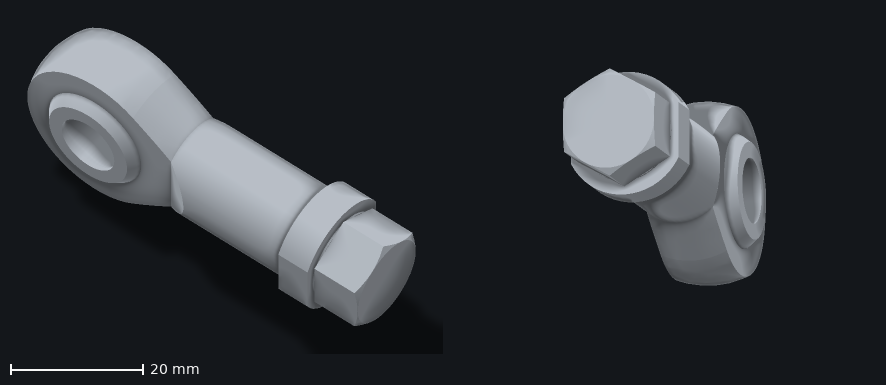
import cadquery as cq
import math

overall_length = 65.55

eye_diameter = 27.9
eye_radius = eye_diameter / 2
eye_width = 10.5

ball_diameter = 20.45
ball_width = 14.0
bore_diameter = 10.0

shank_diameter = 15.35
shank_radius = shank_diameter / 2
neck_start = 7.2
shank_start = 14.5
cheek_ramp_angle = 30.0

collar_diameter = 19.0
collar_across_flats = 17.0
collar_start = 37.45
collar_length = 5.6
collar_end = collar_start + collar_length

relief_diameter = 14.7
relief_length = 0.3
hex_across_flats = 14.4
hex_across_corners = hex_across_flats / math.cos(math.radians(30))
hex_chamfer_angle = 30.0
hex_start = collar_end + relief_length
shank_end = overall_length - eye_radius


def x_cylinder(diameter, start, end):
    """Cylinder along X between two stations."""
    return cq.Workplane("YZ", origin=(start, 0, 0)).circle(diameter / 2).extrude(end - start)


def make_eye_and_shank():
    """Spherical eye, cone and shank, turned about X."""
    neck_radius = math.sqrt(eye_radius**2 - neck_start**2)
    return (
        cq.Workplane("XY")
        .moveTo(-eye_radius, 0)
        .threePointArc((0, eye_radius), (neck_start, neck_radius))
        .lineTo(shank_start, shank_radius)
        .lineTo(collar_start, shank_radius)
        .lineTo(collar_start, 0)
        .close()
        .revolve(360, (0, 0, 0), (1, 0, 0))
    )


def make_cheek_envelope():
    """Slab that leaves flat cheeks on the eye, widening by ramps to the shank."""
    half_width = eye_width / 2
    ramp_length = (shank_radius - half_width) / math.tan(math.radians(cheek_ramp_angle))
    ramp_end = shank_start + ramp_length
    return (
        cq.Workplane("XY")
        .moveTo(-eye_radius, -half_width)
        .lineTo(shank_start, -half_width)
        .lineTo(ramp_end, -shank_radius)
        .lineTo(collar_start, -shank_radius)
        .lineTo(collar_start, shank_radius)
        .lineTo(ramp_end, shank_radius)
        .lineTo(shank_start, half_width)
        .lineTo(-eye_radius, half_width)
        .close()
        .extrude(eye_radius, both=True)
    )


def make_collar():
    """Round collar with a flat on each Y side."""
    flats = cq.Workplane("YZ", origin=(collar_start, 0, 0)).rect(collar_across_flats, collar_diameter)
    return x_cylinder(collar_diameter, collar_start, collar_end).intersect(flats.extrude(collar_length))


def make_hex_end():
    """Hexagon with flats facing Y and a conical chamfer on its outer corners."""
    corner_radius = hex_across_corners / 2
    face_radius = hex_across_flats / 2
    chamfer_length = (corner_radius - face_radius) * math.tan(math.radians(hex_chamfer_angle))
    hexagon = (
        cq.Workplane("YZ", origin=(hex_start, 0, 0))
        .transformed(rotate=(0, 0, 90))
        .polygon(6, hex_across_corners)
        .extrude(shank_end - hex_start)
    )
    chamfer_envelope = (
        cq.Workplane("XY")
        .moveTo(hex_start, 0)
        .lineTo(hex_start, corner_radius)
        .lineTo(shank_end - chamfer_length, corner_radius)
        .lineTo(shank_end, face_radius)
        .lineTo(shank_end, 0)
        .close()
        .revolve(360, (0, 0, 0), (1, 0, 0))
    )
    return hexagon.intersect(chamfer_envelope)


def make_housing():
    """Eye, shank, collar and hexagonal end, with a spherical socket for the ball."""
    ball_radius = ball_diameter / 2
    socket = (
        cq.Workplane("XY")
        .moveTo(0, -ball_radius)
        .threePointArc((ball_radius, 0), (0, ball_radius))
        .close()
        .revolve(360, (0, 0, 0), (0, 1, 0))
    )
    return (
        make_eye_and_shank()
        .intersect(make_cheek_envelope())
        .union(make_collar())
        .union(x_cylinder(relief_diameter, collar_end, hex_start))
        .union(make_hex_end())
        .cut(socket)
    )


def make_ball():
    """Sphere with two flat end faces and a bore, turned about Y."""
    ball_radius = ball_diameter / 2
    bore_radius = bore_diameter / 2
    half_width = ball_width / 2
    face_radius = math.sqrt(ball_radius**2 - half_width**2)
    return (
        cq.Workplane("XY")
        .moveTo(bore_radius, -half_width)
        .lineTo(face_radius, -half_width)
        .threePointArc((ball_radius, 0), (face_radius, half_width))
        .lineTo(bore_radius, half_width)
        .close()
        .revolve(360, (0, 0, 0), (0, 1, 0))
    )


housing = make_housing()
ball = make_ball()

result = cq.Compound.makeCompound([housing.solids().val(), ball.val()])